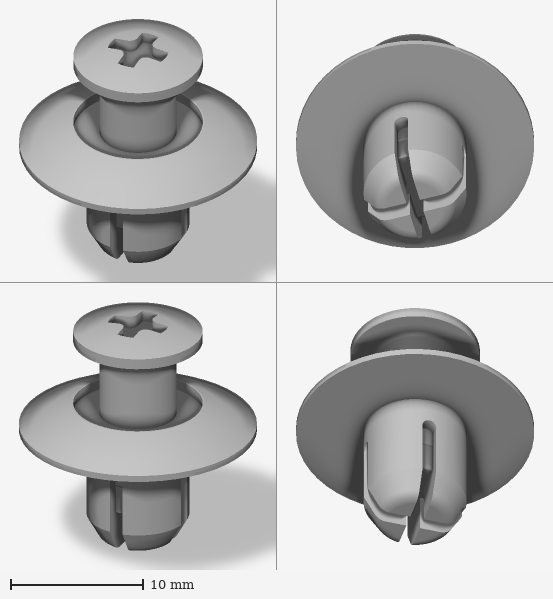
import cadquery as cq
import math


flange_radius = 9.0
rim_thickness = 0.5
flange_height = 2.25
crown_radius = 5.0
crown_bulge = 0.15

head_radius = 4.9
head_rim_thickness = 0.83
head_bottom = 7.47
dome_rise = 0.7
under_head_fillet = 0.3

shank_radius = 2.92
shank_end = -3.53
tip_end = -5.94
tip_step = 0.1
tip_radius = shank_radius - tip_step

cross_radius = 2.3
cross_arm_width = 1.33
cross_corner_fillet = 0.61
cross_depth = 1.03

barrel_radius = 3.89
barrel_taper_start = -7.02
nose_radius = 2.77
barrel_end = -9.02
nose_fillet = 0.99
slot_width = 1.06
slot_top = -2.03

recess_floor = flange_height - head_rim_thickness
head_rim_top = head_bottom + head_rim_thickness
dome_top = head_rim_top + dome_rise


def revolve_profile(profile):
    """Turn a closed (radius, height) profile once around the Z axis."""
    return profile.close().revolve(360, (0, 0, 0), (0, 1, 0))


def shank_solid(top):
    """Shank and chamfered tip up to the given height."""
    return revolve_profile(
        cq.Workplane("XZ")
        .moveTo(0, tip_end)
        .lineTo(tip_radius - tip_step, tip_end)
        .lineTo(tip_radius, tip_end + tip_step)
        .lineTo(tip_radius, shank_end - tip_step)
        .lineTo(shank_radius, shank_end)
        .lineTo(shank_radius, top)
        .lineTo(0, top)
    )


def pin_head():
    """Domed head with a concave fillet running down onto the shank."""
    fillet_center_radius = shank_radius + under_head_fillet
    fillet_center_height = head_bottom - under_head_fillet
    fillet_offset = under_head_fillet * math.sqrt(0.5)
    sphere_radius = (head_radius**2 + dome_rise**2) / (2 * dome_rise)
    mid_radius = head_radius / 2
    mid_drop = sphere_radius - math.sqrt(sphere_radius**2 - mid_radius**2)
    return revolve_profile(
        cq.Workplane("XZ")
        .moveTo(0, fillet_center_height)
        .lineTo(shank_radius, fillet_center_height)
        .threePointArc(
            (fillet_center_radius - fillet_offset, fillet_center_height + fillet_offset),
            (fillet_center_radius, head_bottom),
        )
        .lineTo(head_radius, head_bottom)
        .lineTo(head_radius, head_rim_top)
        .threePointArc((mid_radius, dome_top - mid_drop), (0, dome_top))
    )


def driver_recess():
    """Cross with rounded inner corners and arms ending on a circle."""
    floor = cq.Workplane("XY").workplane(offset=dome_top - cross_depth)
    arm_length = 2 * cross_radius
    arm_x = floor.rect(arm_length, cross_arm_width).extrude(cross_depth)
    arm_y = floor.rect(cross_arm_width, arm_length).extrude(cross_depth)
    inner_corners = cq.selectors.BoxSelector(
        (-cross_arm_width, -cross_arm_width, 0),
        (cross_arm_width, cross_arm_width, dome_top),
    )
    cross = arm_x.union(arm_y).edges("|Z").edges(inner_corners).fillet(cross_corner_fillet)
    return cross.intersect(floor.circle(cross_radius).extrude(cross_depth))


def make_pin():
    shank = shank_solid(head_bottom - under_head_fillet)
    return shank.union(pin_head()).cut(driver_recess())


def sleeve_flange():
    """Domed flange with a vertical rim and a narrow flat crown."""
    run = flange_radius - crown_radius
    rise = flange_height - rim_thickness
    chord = math.hypot(run, rise)
    dome_mid = (
        (flange_radius + crown_radius) / 2 + crown_bulge * rise / chord,
        (rim_thickness + flange_height) / 2 + crown_bulge * run / chord,
    )
    return revolve_profile(
        cq.Workplane("XZ")
        .lineTo(flange_radius, 0)
        .lineTo(flange_radius, rim_thickness)
        .threePointArc(dome_mid, (crown_radius, flange_height))
        .lineTo(0, flange_height)
    )


def sleeve_barrel():
    """Round barrel with a tapered, rounded nose."""
    barrel = revolve_profile(
        cq.Workplane("XZ")
        .lineTo(barrel_radius, 0)
        .lineTo(barrel_radius, barrel_taper_start)
        .lineTo(nose_radius, barrel_end)
        .lineTo(0, barrel_end)
    )
    return barrel.faces("<Z").edges().fillet(nose_fillet)


def barrel_slot():
    """Round-topped slot across the whole barrel, open at the nose."""
    half_width = slot_width / 2
    arch_spring = slot_top - half_width
    return (
        cq.Workplane("XZ")
        .moveTo(-half_width, barrel_end)
        .lineTo(-half_width, arch_spring)
        .threePointArc((0, slot_top), (half_width, arch_spring))
        .lineTo(half_width, barrel_end)
        .close()
        .extrude(barrel_radius, both=True)
    )


def make_sleeve():
    head_recess = (
        cq.Workplane("XY").workplane(offset=recess_floor).circle(head_radius).extrude(head_rim_thickness)
    )
    sleeve = sleeve_flange().union(sleeve_barrel()).cut(head_recess)
    sleeve = sleeve.cut(shank_solid(flange_height))
    for angle in (0, 90):
        sleeve = sleeve.cut(barrel_slot().rotate((0, 0, 0), (0, 0, 1), angle))
    return sleeve


pin = make_pin()
sleeve = make_sleeve()

result = cq.Compound.makeCompound([pin.solids().val(), sleeve.solids().val()])